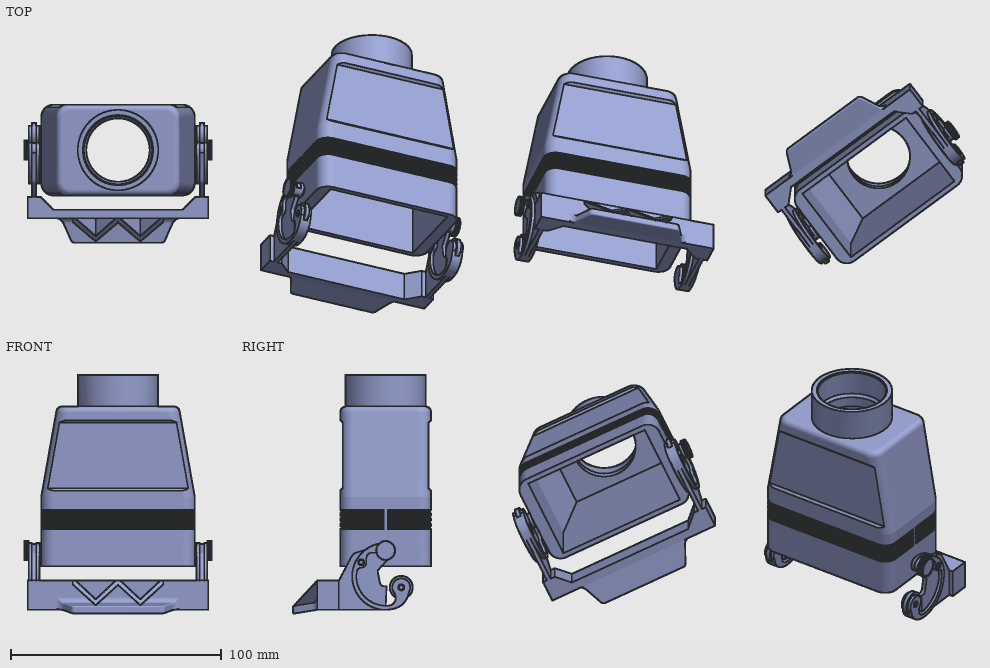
import cadquery as cq
import math

HOOD_LENGTH = 73.0
HOOD_DEPTH = 43.2
HOOD_TOP_LENGTH = 57.8
HOOD_TOP_Z = 75.9
TAPER_START_Z = 33.0
HOOD_CORNER_R = 6.0
HOOD_TOP_EDGE_R = 2.8

END_WALL = 5.8
SIDE_WALL = 2.4
ROOF_THICKNESS = 3.5

COLLAR_TOP_Z = 90.9
COLLAR_DIA = 38.2
COLLAR_BORE_DIA = 32.4
COLLAR_BORE_DEPTH = 12.1
COLLAR_MOUTH_CHAMFER = 0.5
ENTRY_DIA = 30.0
ENTRY_CONE_DEPTH = 1.4

RECESS_BOTTOM_Z = 35.9
RECESS_TOP_Z = 69.4
RECESS_DEPTH = 1.2

GROOVE_COUNT = 4
GROOVE_PITCH = 2.5
GROOVE_LOWEST_Z = 18.4
GROOVE_MOUTH = 1.7
GROOVE_FLOOR = 0.7
GROOVE_DEPTH = 0.5
GROOVE_GAP = 2.0

ARM_MID_X = 39.85
HOOK_THICKNESS = 5.2
PLATE_THICKNESS = 2.0
SPINE_FRONT_Y = -13.5
SPINE_FRONT_Z = 6.6
SPINE_BACK_Y = -1.2
SPINE_BACK_Z = 10.6
HOOK_CENTRE_Z = -4.8
HOOK_OUTER_R = 15.9
HOOK_INNER_R = 13.9
HOOK_TAIL_Y = 7.4
HOOK_TAIL_Z = -10.0
HOOK_TAIL_R = 4.25
TAIL_DISC_R = 5.5
RIVET_Y = -11.6
RIVET_Z = 1.9
RIVET_LOBE_R = 2.5
RIVET_RING_OUTER_R = 1.5
RIVET_RING_INNER_R = 1.1
RIVET_RING_DEPTH = 0.2

TAIL_END_ANGLE = 107
TAIL_BACK_MID = (8.1, -18.0)
TAIL_BACK_END = (HOOK_TAIL_Y + 3.55, HOOK_TAIL_Z - 2.4)
TAIL_NECK = (HOOK_TAIL_Y - 3.3, HOOK_TAIL_Z - 2.6)
TAIL_INSIDE_MID = (4.8, -14.8)
TAIL_INSIDE_END = (1.9, -18.6)
LOBE_BLEND_ANGLE = -9
LOBE_BLEND_MID = (-13.2, -1.5)
LOBE_SHOULDER_Z = 4.0
HOOK_NECK_MID = (-8.4, 5.7)
HOOK_NECK_Y = -6.6
HOOK_NECK_Z = 6.4

THROAT_START = (1.0, 3.2)
THROAT_UPPER = (-3.1, -1.3)
THROAT_NOSE = (-3.65, -2.1)
THROAT_LOWER = (-3.6, -3.1)
STEP_START = (-2.7, -7.6)
STEP_MID = (-2.0, -9.0)
STEP_END = (-0.6, -9.4)
STEP_LIP = (0.5, -9.5)
SHOULDER_LOWER = (-16.3, 4.4)
SHOULDER_MID = (-15.2, 5.8)

PIVOT_Z = 7.5
PIVOT_PIN_R = 2.6
PIVOT_BOSS_R = HOOK_CENTRE_Z + HOOK_OUTER_R - PIVOT_Z
PLATE_EYE_R = 3.3
KNOB_R = 4.6
KNOB_OUTER_X = 44.5
KNURL_COUNT = 36
KNURL_DEPTH = 0.3

BAR_LENGTH = 85.8
BAR_TOP_Z = -6.7
BAR_BOTTOM_Z = HOOK_CENTRE_Z - HOOK_OUTER_R
BAR_FRONT_Y = -32.4
BAR_BACK_Y = -28.3
BAR_END_BACK_Y = -22.2
BAR_END_LENGTH = 6.2

GRIP_ROOT_LENGTH = 54.0
GRIP_TIP_LENGTH = 43.6
GRIP_TIP_Y = -44.04
GRIP_ROOT_TOP_Z = -17.1
GRIP_TIP_TOP_Z = -18.9
GRIP_ROOT_BOTTOM_Z = BAR_BOTTOM_Z
GRIP_TIP_BOTTOM_Z = -22.59
GRIP_CORNER_R = 2.0
GRIP_EDGE_R = 0.7
GRIP_FLARE_Y = -34.8
GRIP_FLARE_LENGTH = 57.8
GRIP_FLARE_TOP_Z = -14.65

RIB_PITCH = 21.2
RIB_OUTER_TIP_Z = -18.5
RIB_INNER_TIP_Z = -15.7
RIB_OUTER_EDGE_Z = -8.5
RIB_OUTER_HALF_WIDTH = 11.0
RIB_INNER_HALF_WIDTH = 9.6
RIB_FRONT_Y = -43.4
RIB_HEADROOM = 1.0


def x_disc(radius, y, z, x_start, x_end):
    """Disc with its axis along X."""
    plane = cq.Workplane("YZ", origin=(x_start, y, z))
    return plane.circle(radius).extrude(x_end - x_start)


def tapered_prism(bottom_half, top_half, half_depth, z_bottom, z_top):
    """Straight up to the taper start, then narrowing along X towards the top."""
    outline = [
        (-bottom_half, z_bottom),
        (bottom_half, z_bottom),
        (bottom_half, TAPER_START_Z),
        (top_half, z_top),
        (-top_half, z_top),
        (-bottom_half, TAPER_START_Z),
    ]
    return cq.Workplane("XZ").polyline(outline).close().extrude(half_depth, both=True)


def half_length_at(z):
    """Half length of the tapered hood at height z."""
    share = (z - TAPER_START_Z) / (HOOD_TOP_Z - TAPER_START_Z)
    return HOOD_LENGTH / 2 - share * (HOOD_LENGTH - HOOD_TOP_LENGTH) / 2


def hood_shell():
    body = tapered_prism(HOOD_LENGTH / 2, HOOD_TOP_LENGTH / 2, HOOD_DEPTH / 2, 0, HOOD_TOP_Z)
    body = body.edges("#Y").edges("not |X").fillet(HOOD_CORNER_R)
    return body.faces(">Z").edges().fillet(HOOD_TOP_EDGE_R)


def cavity():
    roof_z = HOOD_TOP_Z - ROOF_THICKNESS
    return tapered_prism(
        HOOD_LENGTH / 2 - END_WALL,
        half_length_at(roof_z) - END_WALL,
        HOOD_DEPTH / 2 - SIDE_WALL,
        0,
        roof_z,
    )


def side_recess(side):
    outer_y = side * HOOD_DEPTH / 2
    floor_y = side * (HOOD_DEPTH / 2 - RECESS_DEPTH)
    profile = [
        (outer_y, RECESS_BOTTOM_Z),
        (outer_y, RECESS_TOP_Z),
        (floor_y, RECESS_TOP_Z - RECESS_DEPTH),
        (floor_y, RECESS_BOTTOM_Z + RECESS_DEPTH),
    ]
    return cq.Workplane("YZ").polyline(profile).close().extrude(HOOD_LENGTH / 2, both=True)


def inset_outline(inset, z):
    """Hood outline moved inwards by inset, at height z."""
    sketch = cq.Sketch().rect(HOOD_LENGTH - 2 * inset, HOOD_DEPTH - 2 * inset)
    sketch = sketch.vertices().fillet(HOOD_CORNER_R - inset)
    return cq.Workplane("XY", origin=(0, 0, z)).placeSketch(sketch)


def groove(z):
    """Ring round the hood with sloping walls, with a gap at both ends."""
    slope = (GROOVE_MOUTH - GROOVE_FLOOR) / 2
    core = inset_outline(GROOVE_DEPTH, z - GROOVE_MOUTH / 2)
    core = core.extrude(GROOVE_MOUTH)
    for direction in (-1, 1):
        outer = inset_outline(0, z + direction * GROOVE_MOUTH / 2)
        flare = outer.extrude(-direction * slope, taper=math.degrees(math.atan(GROOVE_DEPTH / slope)))
        core = core.union(flare)
    ring = inset_outline(0, z - GROOVE_MOUTH / 2).extrude(GROOVE_MOUTH).cut(core)
    gap = cq.Workplane("XY", origin=(0, 0, z)).box(2 * HOOD_LENGTH, GROOVE_GAP, 2 * GROOVE_MOUTH)
    return ring.cut(gap)


def entry_bore():
    """Stepped bore of the collar with a chamfered mouth and a conical seat."""
    bore_r = COLLAR_BORE_DIA / 2
    entry_r = ENTRY_DIA / 2
    seat_z = COLLAR_TOP_Z - COLLAR_BORE_DEPTH
    profile = [
        (0, HOOD_TOP_Z - 2 * ROOF_THICKNESS),
        (entry_r, HOOD_TOP_Z - 2 * ROOF_THICKNESS),
        (entry_r, seat_z - ENTRY_CONE_DEPTH),
        (bore_r, seat_z),
        (bore_r, COLLAR_TOP_Z - COLLAR_MOUTH_CHAMFER),
        (bore_r + COLLAR_MOUTH_CHAMFER, COLLAR_TOP_Z),
        (0, COLLAR_TOP_Z),
    ]
    return cq.Workplane("XZ").polyline(profile).close().revolve(360, (0, 0, 0), (0, 1, 0))


def hood():
    body = hood_shell().cut(cavity())
    for side in (-1, 1):
        body = body.cut(side_recess(side))
    for index in range(GROOVE_COUNT):
        body = body.cut(groove(GROOVE_LOWEST_Z + index * GROOVE_PITCH))
    collar_base = cq.Workplane("XY", origin=(0, 0, HOOD_TOP_Z - ROOF_THICKNESS))
    collar = collar_base.circle(COLLAR_DIA / 2).extrude(COLLAR_TOP_Z - HOOD_TOP_Z + ROOF_THICKNESS)
    return body.union(collar).cut(entry_bore())


def on_circle(radius, degrees):
    """Point (y, z) on a circle about the hook centre; 0 degrees points to -Y, 90 to -Z."""
    angle = math.radians(degrees)
    return (-radius * math.cos(angle), HOOK_CENTRE_Z - radius * math.sin(angle))


def hook():
    """Thick crescent from the pivot round to the tail boss."""
    start_x = ARM_MID_X - HOOK_THICKNESS / 2
    end_x = ARM_MID_X + HOOK_THICKNESS / 2
    lobe_y = RIVET_Y + RIVET_LOBE_R
    lobe_diagonal = RIVET_LOBE_R * math.sqrt(0.5)
    crescent = (
        cq.Workplane("YZ", origin=(start_x, 0, 0))
        .moveTo(*on_circle(HOOK_OUTER_R, -90))
        .threePointArc(on_circle(HOOK_OUTER_R, 0), on_circle(HOOK_OUTER_R, TAIL_END_ANGLE))
        .threePointArc(TAIL_BACK_MID, TAIL_BACK_END)
        .lineTo(HOOK_TAIL_Y, HOOK_TAIL_Z)
        .lineTo(*TAIL_NECK)
        .threePointArc(TAIL_INSIDE_MID, TAIL_INSIDE_END)
        .lineTo(*on_circle(HOOK_INNER_R, 90))
        .threePointArc(on_circle(HOOK_INNER_R, 45), on_circle(HOOK_INNER_R, LOBE_BLEND_ANGLE))
        .threePointArc(LOBE_BLEND_MID, (RIVET_Y, RIVET_Z - RIVET_LOBE_R))
        .threePointArc((RIVET_Y + lobe_diagonal, RIVET_Z - lobe_diagonal), (lobe_y, RIVET_Z))
        .lineTo(lobe_y, LOBE_SHOULDER_Z)
        .threePointArc(HOOK_NECK_MID, (HOOK_NECK_Y, HOOK_NECK_Z))
        .lineTo(0, HOOK_NECK_Z)
        .close()
        .extrude(HOOK_THICKNESS)
    )
    tail = x_disc(HOOK_TAIL_R, HOOK_TAIL_Y, HOOK_TAIL_Z, start_x, end_x)
    boss = x_disc(PIVOT_BOSS_R, 0, PIVOT_Z, start_x, end_x)
    return crescent.union(tail).union(boss)


def arm_plate():
    """Thin plate that fills the hook and carries the cross bar."""
    start_x = ARM_MID_X - PLATE_THICKNESS / 2
    plate = (
        cq.Workplane("YZ", origin=(start_x, 0, 0))
        .moveTo(*THROAT_START)
        .lineTo(*THROAT_UPPER)
        .threePointArc(THROAT_NOSE, THROAT_LOWER)
        .lineTo(*STEP_START)
        .threePointArc(STEP_MID, STEP_END)
        .lineTo(*STEP_LIP)
        .lineTo(0, BAR_BOTTOM_Z)
        .lineTo(BAR_BACK_Y, BAR_BOTTOM_Z)
        .lineTo(BAR_BACK_Y, BAR_TOP_Z)
        .lineTo(BAR_END_BACK_Y, BAR_TOP_Z)
        .lineTo(*SHOULDER_LOWER)
        .threePointArc(SHOULDER_MID, (SPINE_FRONT_Y, SPINE_FRONT_Z))
        .lineTo(SPINE_BACK_Y, SPINE_BACK_Z)
        .lineTo(0, PIVOT_Z)
        .close()
        .extrude(PLATE_THICKNESS)
    )
    end_x = start_x + PLATE_THICKNESS
    tail = x_disc(TAIL_DISC_R, HOOK_TAIL_Y, HOOK_TAIL_Z, start_x, end_x)
    eye = x_disc(PLATE_EYE_R, 0, PIVOT_Z, start_x, end_x)
    return plate.union(tail).union(eye)


def cheek_gap():
    """Space between the two cheeks of the hook round the pivot, partly filled by the plate."""
    length = PIVOT_BOSS_R - SPINE_FRONT_Y
    height = HOOK_CENTRE_Z + HOOK_OUTER_R - SPINE_FRONT_Z
    base = cq.Workplane("XY", origin=(ARM_MID_X, SPINE_FRONT_Y, SPINE_FRONT_Z))
    return base.box(PLATE_THICKNESS, length, height, centered=(True, False, False))


def rivet_ring(y, z):
    face_x = ARM_MID_X + HOOK_THICKNESS / 2
    ring = cq.Workplane("YZ", origin=(face_x, y, z))
    return ring.circle(RIVET_RING_OUTER_R).circle(RIVET_RING_INNER_R).extrude(-RIVET_RING_DEPTH)


def knob():
    """Knurled disc closing the pivot on the outside of the arm."""
    inner_x = ARM_MID_X + HOOK_THICKNESS / 2
    outline = []
    for index in range(2 * KNURL_COUNT):
        radius = KNOB_R - KNURL_DEPTH * (index % 2)
        angle = math.pi * index / KNURL_COUNT
        outline.append((radius * math.sin(angle), radius * math.cos(angle)))
    plane = cq.Workplane("YZ", origin=(inner_x, 0, PIVOT_Z))
    return plane.polyline(outline).close().extrude(KNOB_OUTER_X - inner_x)


def arm():
    """Arm on the +X side with its pivot pin reaching the hood wall."""
    body = hook().cut(cheek_gap()).union(arm_plate())
    body = body.cut(rivet_ring(HOOK_TAIL_Y, HOOK_TAIL_Z)).cut(rivet_ring(RIVET_Y, RIVET_Z))
    pin = x_disc(PIVOT_PIN_R, 0, PIVOT_Z, HOOD_LENGTH / 2 - END_WALL / 2, ARM_MID_X)
    return body.union(pin).union(knob())


def cross_bar():
    """Bar with thicker ends that reach back to the arms at 45 degrees."""
    half = BAR_LENGTH / 2
    end_x = half - BAR_END_LENGTH
    mid_x = end_x - (BAR_END_BACK_Y - BAR_BACK_Y)
    outline = [
        (-half, BAR_FRONT_Y),
        (half, BAR_FRONT_Y),
        (half, BAR_END_BACK_Y),
        (end_x, BAR_END_BACK_Y),
        (mid_x, BAR_BACK_Y),
        (-mid_x, BAR_BACK_Y),
        (-end_x, BAR_END_BACK_Y),
        (-half, BAR_END_BACK_Y),
    ]
    base = cq.Workplane("XY", origin=(0, 0, BAR_BOTTOM_Z))
    return base.polyline(outline).close().extrude(BAR_TOP_Z - BAR_BOTTOM_Z)


def finger_grip():
    """Drooping trapezoidal tongue that flares out where it leaves the bar."""
    flare_share = (GRIP_FLARE_Y - BAR_FRONT_Y) / (GRIP_TIP_Y - BAR_FRONT_Y)
    flare_x = (GRIP_ROOT_LENGTH + flare_share * (GRIP_TIP_LENGTH - GRIP_ROOT_LENGTH)) / 2
    flare_z = GRIP_ROOT_TOP_Z + flare_share * (GRIP_TIP_TOP_Z - GRIP_ROOT_TOP_Z)
    half_plan = (
        cq.Workplane("XY", origin=(0, 0, 2 * BAR_BOTTOM_Z))
        .moveTo(0, GRIP_TIP_Y)
        .lineTo(GRIP_TIP_LENGTH / 2, GRIP_TIP_Y)
        .lineTo(flare_x, GRIP_FLARE_Y)
        .tangentArcPoint((GRIP_FLARE_LENGTH / 2, BAR_FRONT_Y), relative=False)
        .lineTo(0, BAR_FRONT_Y)
        .close()
        .extrude(BAR_TOP_Z - 2 * BAR_BOTTOM_Z)
    )
    side = (
        cq.Workplane("YZ")
        .moveTo(BAR_FRONT_Y, GRIP_ROOT_BOTTOM_Z)
        .lineTo(GRIP_TIP_Y, GRIP_TIP_BOTTOM_Z)
        .lineTo(GRIP_TIP_Y, GRIP_TIP_TOP_Z)
        .lineTo(GRIP_FLARE_Y, flare_z)
        .tangentArcPoint((BAR_FRONT_Y, GRIP_FLARE_TOP_Z), relative=False)
        .close()
        .extrude(GRIP_ROOT_LENGTH, both=True)
    )
    grip = side.intersect(half_plan.union(half_plan.mirror("YZ")))
    grip = grip.edges("|Z").edges("<Y").fillet(GRIP_CORNER_R)
    return grip.edges("not(>Y or |Z)").fillet(GRIP_EDGE_R)


def v_prism(half_width, edge_z, tip_z):
    """V-shaped prism reaching forward from the bar, and rising a little above it."""
    top_z = BAR_TOP_Z + RIB_HEADROOM
    outline = [
        (-half_width, top_z),
        (-half_width, edge_z),
        (0, tip_z),
        (half_width, edge_z),
        (half_width, top_z),
    ]
    plane = cq.Workplane("XZ", origin=(0, BAR_FRONT_Y, 0))
    return plane.polyline(outline).close().extrude(BAR_FRONT_Y - RIB_FRONT_Y)


def rib(x):
    """V-shaped trough, cut off by a plane sloping from the bar down to the grip."""
    trough = v_prism(RIB_OUTER_HALF_WIDTH, RIB_OUTER_EDGE_Z, RIB_OUTER_TIP_Z)
    trough = trough.cut(v_prism(RIB_INNER_HALF_WIDTH, BAR_TOP_Z, RIB_INNER_TIP_Z))
    slope = [(BAR_FRONT_Y, BAR_TOP_Z), (RIB_FRONT_Y, RIB_OUTER_TIP_Z), (BAR_FRONT_Y, RIB_OUTER_TIP_Z)]
    wedge = cq.Workplane("YZ").polyline(slope).close().extrude(RIB_PITCH, both=True)
    return trough.intersect(wedge).translate((x, 0, 0))


def lever():
    body = cross_bar().union(finger_grip())
    for side in (-1, 1):
        body = body.union(rib(side * RIB_PITCH / 2))
    right_arm = arm()
    return body.union(right_arm).union(right_arm.mirror("YZ"))


result = hood().union(lever())